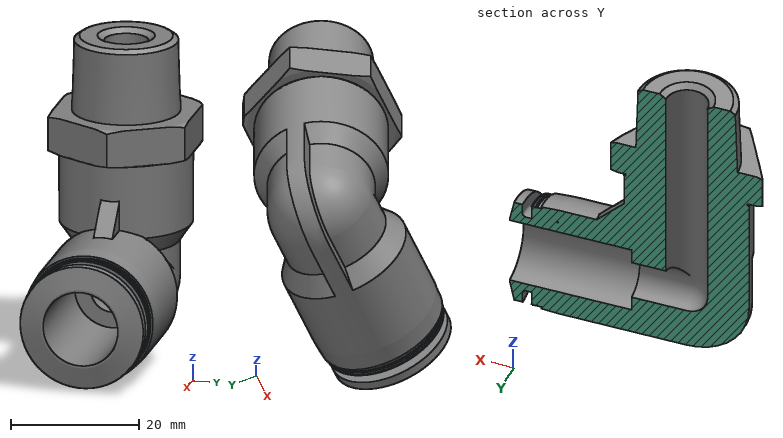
import cadquery as cq
import math


BODY_R = 21.0 / 2
ELBOW_R = 16.9 / 2
CONE_START = 6.0
STEM_BODY_START = 9.0
TUBE_BODY_START = 9.2

COLLAR_Z = 20.75
COLLAR_R = 10.2
HEX_Z = 21.0
HEX_HEIGHT = 6.0
HEX_ACROSS_FLATS = 22.0
HEX_CHAMFER_R = 11.6
HEX_CHAMFER_ANGLE = 15.0
HEX_MARK_DISTANCE = 12.2
HEX_MARK_DIRECTION = 120.0
TOP_Z = 39.0
THREAD_TAPER = 1 / 16
THREAD_BASE_R = 8.53
THREAD_CHAMFER_HEIGHT = 0.6
THREAD_TIP_R = 7.3

BODY_TAPER_X = 21.3
BODY_END_X = 24.3
BODY_END_R = 10.33
SLEEVE_R = 20.0 / 2
SLEEVE_GROOVE_R = 19.8 / 2
SLEEVE_GROOVE_X = 25.0
SLEEVE_GROOVE_WIDTH = 0.3
SLEEVE_STEP_X = 25.75
SLEEVE_END_X = 25.95
NECK_R = 15.0 / 2
NECK_FILLET_R = 0.55
FLANGE_X = 27.4
FLANGE_R = 19.8 / 2
FLANGE_CONE_X = 28.85
FLANGE_TIP_R = 6.4
END_X = 29.6

BORE_R = 6.9 / 2
BORE_MOUTH_R = 9.0 / 2
BORE_MOUTH_DEPTH = 0.75
TUBE_R = 12.0 / 2
TUBE_SOCKET_START = TUBE_BODY_START

WEB_THICKNESS = 3.0
GUSSET_LEG = 4.55


def make_stem_arm():
    """Vertical arm without the hexagon: elbow, cone, body, collar and taper thread."""
    hex_top = HEX_Z + HEX_HEIGHT
    chamfer_z = TOP_Z - THREAD_CHAMFER_HEIGHT
    thread_end_r = THREAD_BASE_R - (chamfer_z - hex_top) * THREAD_TAPER / 2
    profile = (
        cq.Workplane("XZ")
        .lineTo(ELBOW_R, 0)
        .lineTo(ELBOW_R, CONE_START)
        .lineTo(BODY_R, STEM_BODY_START)
        .lineTo(BODY_R, COLLAR_Z)
        .lineTo(COLLAR_R, COLLAR_Z)
        .lineTo(COLLAR_R, hex_top)
        .lineTo(THREAD_BASE_R, hex_top)
        .lineTo(thread_end_r, chamfer_z)
        .lineTo(THREAD_TIP_R, TOP_Z)
        .lineTo(0, TOP_Z)
        .close()
    )
    return profile.revolve(360, (0, 0, 0), (0, 1, 0))


def make_hexagon():
    """Hexagon with corners on the X axis, chamfered conically at both ends and marked on one corner."""
    corner_r = HEX_ACROSS_FLATS / 2 / math.cos(math.radians(30))
    drop = (corner_r - HEX_CHAMFER_R) * math.tan(math.radians(HEX_CHAMFER_ANGLE))
    hex_top = HEX_Z + HEX_HEIGHT
    prism = cq.Workplane("XY").workplane(offset=HEX_Z).polygon(6, 2 * corner_r).extrude(HEX_HEIGHT)
    envelope = (
        cq.Workplane("XZ")
        .moveTo(0, HEX_Z)
        .lineTo(HEX_CHAMFER_R, HEX_Z)
        .lineTo(corner_r, HEX_Z + drop)
        .lineTo(corner_r, hex_top - drop)
        .lineTo(HEX_CHAMFER_R, hex_top)
        .lineTo(0, hex_top)
        .close()
        .revolve(360, (0, 0, 0), (0, 1, 0))
    )
    corner_block = (
        cq.Workplane("XY")
        .box(2 * HEX_MARK_DISTANCE, HEX_ACROSS_FLATS, HEX_HEIGHT, centered=(False, True, False))
        .translate((HEX_MARK_DISTANCE, 0, HEX_Z))
        .rotate((0, 0, 0), (0, 0, 1), HEX_MARK_DIRECTION)
    )
    return prism.intersect(envelope).cut(corner_block)


def make_tube_arm():
    """Horizontal arm: elbow, cone, body, grooved sleeve, neck and release collar."""
    fillet_start = FLANGE_X - NECK_FILLET_R
    fillet_middle = NECK_FILLET_R * math.sin(math.radians(45))
    profile = (
        cq.Workplane("XZ")
        .lineTo(0, ELBOW_R)
        .lineTo(CONE_START, ELBOW_R)
        .lineTo(TUBE_BODY_START, BODY_R)
        .lineTo(BODY_TAPER_X, BODY_R)
        .lineTo(BODY_END_X, BODY_END_R)
        .lineTo(BODY_END_X, SLEEVE_R)
        .lineTo(SLEEVE_GROOVE_X, SLEEVE_R)
        .lineTo(SLEEVE_GROOVE_X, SLEEVE_GROOVE_R)
        .lineTo(SLEEVE_GROOVE_X + SLEEVE_GROOVE_WIDTH, SLEEVE_GROOVE_R)
        .lineTo(SLEEVE_GROOVE_X + SLEEVE_GROOVE_WIDTH, SLEEVE_R)
        .lineTo(SLEEVE_STEP_X, SLEEVE_R)
        .lineTo(SLEEVE_STEP_X, SLEEVE_GROOVE_R)
        .lineTo(SLEEVE_END_X, SLEEVE_GROOVE_R)
        .lineTo(SLEEVE_END_X, NECK_R)
        .lineTo(fillet_start, NECK_R)
        .threePointArc(
            (fillet_start + fillet_middle, NECK_R + NECK_FILLET_R - fillet_middle),
            (FLANGE_X, NECK_R + NECK_FILLET_R),
        )
        .lineTo(FLANGE_X, FLANGE_R)
        .lineTo(FLANGE_CONE_X, FLANGE_R)
        .lineTo(END_X, FLANGE_TIP_R)
        .lineTo(END_X, 0)
        .close()
    )
    return profile.revolve(360, (0, 0, 0), (1, 0, 0))


def make_outer_web():
    """Web around the outside of the bend, following the body radius along both arms."""
    slab_size = 2 * (BODY_R + TUBE_BODY_START)
    slab = cq.Workplane("XY").box(slab_size, WEB_THICKNESS, slab_size)
    stem_side = cq.Workplane("XY").circle(BODY_R).extrude(STEM_BODY_START)
    tube_side = cq.Workplane("YZ").circle(BODY_R).extrude(TUBE_BODY_START)
    bend = cq.Workplane("XY").sphere(BODY_R)
    envelope = stem_side.union(bend).union(tube_side)
    return envelope.intersect(slab)


def make_gusset():
    """Triangular web in the inside corner between the two arm bodies."""
    root = ELBOW_R
    tip = 2 * BODY_R + GUSSET_LEG - root
    return (
        cq.Workplane("XZ")
        .moveTo(root, root)
        .lineTo(root, tip)
        .lineTo(tip, root)
        .close()
        .extrude(WEB_THICKNESS / 2, both=True)
    )


def make_passages():
    """Flow bore around the bend, its flared mouth and the tube socket."""
    stem_bore = cq.Workplane("XY").circle(BORE_R).extrude(TOP_Z)
    mouth = (
        cq.Workplane("XZ")
        .moveTo(0, TOP_Z - BORE_MOUTH_DEPTH)
        .lineTo(BORE_R, TOP_Z - BORE_MOUTH_DEPTH)
        .lineTo(BORE_MOUTH_R, TOP_Z)
        .lineTo(0, TOP_Z)
        .close()
        .revolve(360, (0, 0, 0), (0, 1, 0))
    )
    tube_bore = cq.Workplane("YZ").circle(BORE_R).extrude(END_X)
    socket = (
        cq.Workplane("YZ")
        .workplane(offset=TUBE_SOCKET_START)
        .circle(TUBE_R)
        .extrude(END_X - TUBE_SOCKET_START)
    )
    bend = cq.Workplane("XY").sphere(BORE_R)
    return stem_bore.union(bend).union(tube_bore).union(mouth).union(socket)


elbow_ball = cq.Workplane("XY").sphere(ELBOW_R)
body = elbow_ball.union(make_stem_arm()).union(make_tube_arm())
body = body.union(make_hexagon())
body = body.union(make_outer_web()).union(make_gusset())
result = body.cut(make_passages())